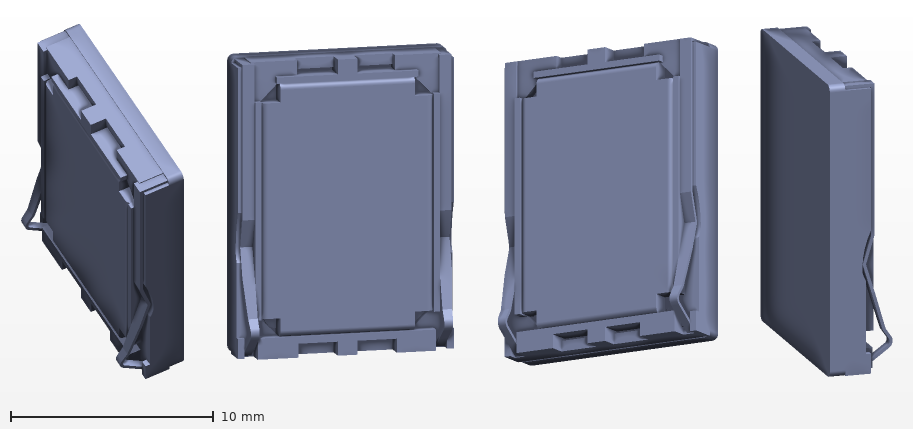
import cadquery as cq
import math

WIDTH = 11.0
HEIGHT = 15.0
HALF = WIDTH / 2

PLATE_DEPTH = 0.81
RECESS_DEPTH = 1.68
LOW_FLOOR_DEPTH = 1.89
WALL_DEPTH = 2.15
FRONT_DEPTH = 2.52

PLATE_CORNER_RADIUS = 0.33
BODY_INSET = 0.05
SHOULDER_DROP = 0.3

SHOULDER_WIDTH = 0.65
SPRING_OUTER = 0.16
SPRING_INNER = 0.8
COVER_INSET = 1.11
RAIL_END_INSET = 2.01

VALLEY_TOP = (WALL_DEPTH, 7.59)
VALLEY_UPPER_MID = (1.8, 8.58)
VALLEY_BOTTOM = (1.7, 9.38)
VALLEY_LOWER_MID = (1.75, 9.92)
VALLEY_END = (LOW_FLOOR_DEPTH, 10.17)

COVER_NOTCH = 0.96
COVER_FILLET = 0.32
INNER_PLATE_RADIUS = 0.63
WELL_STEP = 0.15

LIP_TOP = 0.8
LIP_INSET = 1.89
BLOCK_INSET_LEFT = 0.92
BLOCK_INSET_RIGHT = 1.0
RECESS_WIDTH = 2.0
RECESS_GAP = 1.0
RECESS_BACK_HEIGHT = 0.58
UNDERCUT_DEPTH = 1.38
LOWER_RECESS_HEIGHT = 0.75

POST_WIDTH = 0.35
POST_HEIGHT = 1.06
TAIL_POCKET_HEIGHT = 0.42

SPRING_THICKNESS = 0.16
SPRING_TOP = 0.1
SPRING_FACE = 2.37
TAIL_SLOPE = 1.4
APEX = (3.54, 13.58)
TAIL_END_DEPTH = RECESS_DEPTH
SPRING_PATH = [
    (PLATE_DEPTH, SPRING_TOP),
    (SPRING_FACE, SPRING_TOP),
    (SPRING_FACE, 7.94),
    (1.94, 9.38),
    (3.0, 12.8),
    APEX,
    (TAIL_END_DEPTH, APEX[1] + (APEX[0] - TAIL_END_DEPTH) / TAIL_SLOPE),
]
APEX_RADIUS = 0.42
TAPER_START = 10.88
TAPER_END_INSET = 0.36


def block(x0, x1, depth0, depth1, z0, z1):
    """Box between two X positions, two depths and two heights."""
    return (
        cq.Workplane("XY")
        .box(x1 - x0, depth1 - depth0, z1 - z0, centered=False)
        .translate((x0, -depth1, z0))
    )


def centred_block(width, depth0, depth1, z0, z1):
    return block(-width / 2, width / 2, depth0, depth1, z0, z1)


def side_point(point):
    """Turn (depth, distance from the top edge) into sketch coordinates (Y, Z)."""
    depth, drop = point
    return (-depth, HEIGHT - drop)


def mirrored(solid):
    """The solid together with its mirror image across the X = 0 plane."""
    return solid.union(solid.mirror("YZ"))


def back_plate():
    plate = centred_block(WIDTH, 0, PLATE_DEPTH, 0, HEIGHT)
    return plate.edges("|Y").fillet(PLATE_CORNER_RADIUS)


def side_walls():
    """Full-width body with the valley of both side walls in its front face."""
    return (
        cq.Workplane("YZ", origin=(-HALF, 0, 0))
        .moveTo(-PLATE_DEPTH, BODY_INSET)
        .lineTo(-LOW_FLOOR_DEPTH, BODY_INSET)
        .lineTo(*side_point(VALLEY_END))
        .threePointArc(side_point(VALLEY_LOWER_MID), side_point(VALLEY_BOTTOM))
        .threePointArc(side_point(VALLEY_UPPER_MID), side_point(VALLEY_TOP))
        .lineTo(-WALL_DEPTH, HEIGHT - SHOULDER_DROP)
        .lineTo(-PLATE_DEPTH, HEIGHT - SHOULDER_DROP)
        .close()
        .extrude(WIDTH)
    )


def core():
    """Flat middle of the body and its wider band along the top edge."""
    middle = centred_block(
        WIDTH - 2 * SPRING_INNER, PLATE_DEPTH, WALL_DEPTH,
        RAIL_END_INSET, HEIGHT - BODY_INSET,
    )
    top_band = centred_block(
        WIDTH - 2 * SHOULDER_WIDTH, PLATE_DEPTH, WALL_DEPTH,
        HEIGHT - SHOULDER_DROP, HEIGHT - BODY_INSET,
    )
    return middle.union(top_band)


def cover():
    """Raised cover with rounded front edges and square notched corners."""
    half_width = HALF - COVER_INSET
    solid = centred_block(
        2 * half_width, PLATE_DEPTH, FRONT_DEPTH, COVER_INSET, HEIGHT - COVER_INSET
    )
    solid = solid.faces("<Y").edges().fillet(COVER_FILLET)
    notches = (
        cq.Workplane("XZ", origin=(0, 0, HEIGHT / 2))
        .rect(2 * half_width, HEIGHT - 2 * COVER_INSET, forConstruction=True)
        .vertices()
        .rect(2 * COVER_NOTCH, 2 * COVER_NOTCH)
        .extrude(FRONT_DEPTH)
    )
    return solid.cut(notches)


def frame():
    """Side rails, upper lip with its middle tab, lower block and corner posts."""
    rail = block(
        -HALF + SPRING_INNER, -HALF + COVER_INSET, PLATE_DEPTH, FRONT_DEPTH,
        RAIL_END_INSET, HEIGHT - RAIL_END_INSET,
    )
    post = block(-HALF, -HALF + POST_WIDTH, PLATE_DEPTH, WALL_DEPTH, BODY_INSET, POST_HEIGHT)
    lip = centred_block(
        WIDTH - 2 * LIP_INSET, PLATE_DEPTH, FRONT_DEPTH, HEIGHT - COVER_INSET, HEIGHT - LIP_TOP
    )
    tab = centred_block(
        RECESS_GAP, PLATE_DEPTH, FRONT_DEPTH, HEIGHT - COVER_INSET, HEIGHT - BODY_INSET
    )
    lower_block = block(
        -HALF + BLOCK_INSET_LEFT, HALF - BLOCK_INSET_RIGHT, PLATE_DEPTH, FRONT_DEPTH,
        BODY_INSET, COVER_INSET,
    )
    return mirrored(rail.union(post)).union(lip).union(tab).union(lower_block)


def edge_recess(height):
    """Recess in the bottom edge on the +X side, undercut behind its back wall at the inner end."""
    x0 = RECESS_GAP / 2
    x1 = x0 + RECESS_WIDTH
    recess = block(x0, x1, RECESS_DEPTH, FRONT_DEPTH, 0, height)
    undercut = block(x0, x1, UNDERCUT_DEPTH, FRONT_DEPTH, RECESS_BACK_HEIGHT, height)
    return recess.union(undercut)


def edge_recesses():
    """Pairs of recesses in the top and bottom edges."""
    upper = edge_recess(LIP_TOP).mirror("XY", (0, 0, HEIGHT / 2))
    lower = edge_recess(LOWER_RECESS_HEIGHT)
    return mirrored(upper.union(lower))


def corner_well(floor_depth):
    """Triangular well in the lower -X corner notch of the cover."""
    near = COVER_INSET
    far = COVER_INSET + COVER_NOTCH
    return (
        cq.Workplane("XZ", origin=(0, -floor_depth, 0))
        .polyline([(-HALF + near, far), (-HALF + far, far), (-HALF + far, near)])
        .close()
        .extrude(FRONT_DEPTH - floor_depth)
    )


def corner_wells():
    """Wells in all four corners; the lower ones step down around a rounded inner plate."""
    upper = corner_well(RECESS_DEPTH).mirror("XY", (0, 0, HEIGHT / 2))
    inner_plate_inset = COVER_INSET + COVER_FILLET
    inner_plate = centred_block(
        WIDTH - 2 * inner_plate_inset, 0, RECESS_DEPTH,
        inner_plate_inset, HEIGHT - inner_plate_inset,
    )
    inner_plate = inner_plate.edges("|Y").fillet(INNER_PLATE_RADIUS)
    lower = corner_well(RECESS_DEPTH - WELL_STEP).cut(inner_plate)
    return mirrored(upper.union(lower))


def tail_pockets():
    """Pockets beside the posts for the spring tails, reaching under the lower block."""
    return mirrored(
        block(
            -HALF + POST_WIDTH, -HALF + BLOCK_INSET_RIGHT, RECESS_DEPTH, FRONT_DEPTH,
            0, TAIL_POCKET_HEIGHT,
        )
    )


def offset_path(points, distance):
    """Mitred copy of an open path, moved to the right of its direction."""
    directions = []
    for (y0, z0), (y1, z1) in zip(points, points[1:]):
        length = math.hypot(y1 - y0, z1 - z0)
        directions.append(((y1 - y0) / length, (z1 - z0) / length))
    before = directions[:1] + directions
    after = directions + directions[-1:]
    moved = []
    for (y, z), (ay, az), (by, bz) in zip(points, before, after):
        scale = distance / (1 + ay * by + az * bz)
        moved.append((y + (az + bz) * scale, z - (ay + by) * scale))
    return moved


def spring():
    """Bent strip on the -X side, narrowing towards its rounded apex."""
    front = [side_point(point) for point in SPRING_PATH]
    back = offset_path(front, -SPRING_THICKNESS)
    strip = (
        cq.Workplane("YZ", origin=(-HALF + SPRING_OUTER, 0, 0))
        .polyline(front + back[::-1])
        .close()
        .extrude(SPRING_INNER - SPRING_OUTER)
    )
    apex_y, apex_z = side_point(APEX)
    apex_index = SPRING_PATH.index(APEX)
    inner_y, inner_z = back[apex_index]
    middle_x = -HALF + (SPRING_OUTER + SPRING_INNER) / 2
    strip = strip.edges(cq.NearestToPointSelector((middle_x, apex_y, apex_z))).fillet(APEX_RADIUS)
    strip = strip.edges(cq.NearestToPointSelector((middle_x, inner_y, inner_z))).fillet(
        APEX_RADIUS - SPRING_THICKNESS
    )
    taper = (
        cq.Workplane("XZ")
        .polyline([
            (-HALF + SPRING_OUTER, HEIGHT - TAPER_START),
            (-HALF + TAPER_END_INSET, apex_z),
            (-HALF + TAPER_END_INSET, 0),
            (-HALF, 0),
            (-HALF, HEIGHT - TAPER_START),
        ])
        .close()
        .extrude(APEX[0])
    )
    return strip.cut(taper)


body = back_plate().union(side_walls()).union(core()).cut(tail_pockets())
body = body.union(cover()).union(frame())
body = body.cut(edge_recesses()).cut(corner_wells())
result = body.union(mirrored(spring()))